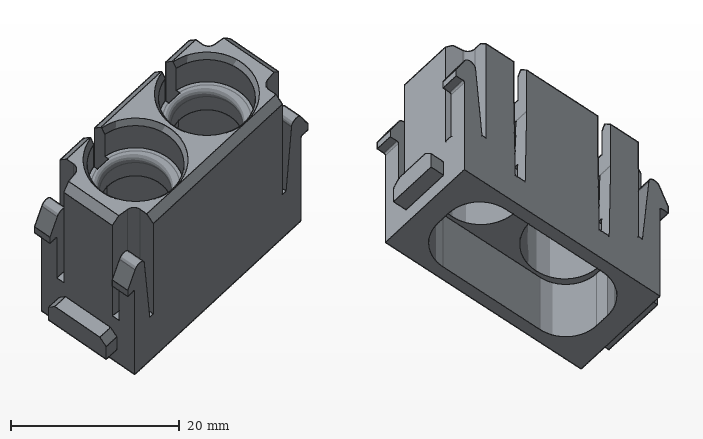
import cadquery as cq

body_width = 14.6
body_length = 30.3
body_height = 27.2
top_chamfer = 1.03
half_width = body_width / 2
half_length = body_length / 2

bore_spacing = 13.0
bore_centres = (-bore_spacing / 2, bore_spacing / 2)
mouth_diameter = 12.45
mouth_depth = 0.85
upper_bore_diameter = 11.5
lower_bore_top_diameter = 10.8
lower_bore_end_diameter = 10.67
neck_diameter = 8.6
neck_lip_radius = 1.0
neck_top = 22.02
neck_bottom = 18.45

cavity_width = 11.55
cavity_height = 9.78
cavity_corner_radius = 4.8
cavity_length = bore_spacing + cavity_width

slot_inner_x = -5.1
slot_top_width = 2.0
slot_floor_width = 1.55
slot_taper_top = neck_bottom
slot_floor = 5.1

notch_floor = 8.5
notch_inner_y = 11.75
notch_outer_x = 3.8
notch_inner_x = 4.25
notch_radius = 1.1

arm_width = 2.43
arm_root_y = 12.4
arm_tip_y = 13.4
arm_tip_start = 20.08
arm_top = 20.95
arm_shoulder_y = 15.08
arm_shoulder = 20.42
catch_reach = 16.4
catch_bottom = 16.52
catch_height = 1.2
catch_root_radius = 0.25

overall_length = 34.2
front_peg_width = 9.03
rear_peg_width = 6.95
peg_bottom = 2.53
peg_top = 6.02
peg_chamfer = 1.0


def make_body():
    block = cq.Workplane("XY").box(body_width, body_length, body_height, centered=(True, True, False))
    return block.faces(">Z").edges().chamfer(top_chamfer)


def make_bore(centre_y):
    """Revolved void: chamfered mouth, upper bore, rounded neck and tapered lower bore."""
    neck_radius = neck_diameter / 2
    lip_outer = neck_radius + neck_lip_radius
    profile = (
        cq.Workplane("XZ")
        .moveTo(0, cavity_height)
        .lineTo(lower_bore_end_diameter / 2, cavity_height)
        .lineTo(lower_bore_top_diameter / 2, neck_bottom)
        .lineTo(neck_radius, neck_bottom)
        .lineTo(neck_radius, neck_top - neck_lip_radius)
        .radiusArc((lip_outer, neck_top), neck_lip_radius)
        .lineTo(upper_bore_diameter / 2, neck_top)
        .lineTo(upper_bore_diameter / 2, body_height - mouth_depth)
        .lineTo(mouth_diameter / 2, body_height)
        .lineTo(0, body_height)
        .close()
    )
    return profile.revolve(360, (0, 0), (0, 1)).translate((0, centre_y, 0))


def make_cavity():
    cavity = cq.Workplane("XY").box(
        cavity_width, cavity_length, cavity_height, centered=(True, True, False)
    )
    return cavity.edges("|Z").fillet(cavity_corner_radius)


def make_slot(centre_y):
    """Wall slot with straight sides above and tapering sides below."""
    outline = [
        (-slot_floor_width / 2, slot_floor),
        (slot_floor_width / 2, slot_floor),
        (slot_top_width / 2, slot_taper_top),
        (slot_top_width / 2, body_height),
        (-slot_top_width / 2, body_height),
        (-slot_top_width / 2, slot_taper_top),
    ]
    slot = cq.Workplane("YZ").polyline(outline).close().extrude(slot_inner_x + half_width)
    return slot.translate((-half_width, centre_y, 0))


def make_notch():
    """Notch void at the +X +Y corner, with a rounded inner corner."""
    outline = [
        (half_width, notch_inner_y),
        (notch_inner_x, notch_inner_y),
        (notch_outer_x, half_length),
        (half_width, half_length),
    ]
    notch = cq.Workplane("XY").polyline(outline).close().extrude(body_height - notch_floor)
    inner_corner = cq.selectors.NearestToPointSelector(
        (notch_inner_x, notch_inner_y, (body_height - notch_floor) / 2)
    )
    return notch.edges(inner_corner).fillet(notch_radius).translate((0, 0, notch_floor))


def make_arm():
    """Latch arm at the +X +Y corner: tapered spring, round tip and catch."""
    tip_middle = (arm_tip_y + arm_shoulder_y) / 2
    arm = (
        cq.Workplane("YZ")
        .moveTo(arm_root_y, notch_floor)
        .lineTo(half_length, notch_floor)
        .lineTo(half_length, catch_bottom - catch_root_radius)
        .radiusArc((half_length + catch_root_radius, catch_bottom), catch_root_radius)
        .lineTo(catch_reach, catch_bottom)
        .lineTo(catch_reach, catch_bottom + catch_height)
        .lineTo(arm_shoulder_y, arm_shoulder)
        .threePointArc((tip_middle, arm_top), (arm_tip_y, arm_tip_start))
        .close()
        .extrude(arm_width)
    )
    return arm.translate((half_width - arm_width, 0, 0))


def make_peg(width):
    """Peg on the +Y face with two chamfered upper corners."""
    peg_reach = overall_length / 2 - half_length
    peg_height = peg_top - peg_bottom
    peg = cq.Workplane("XY").box(width, peg_reach, peg_height, centered=(True, False, False))
    peg = peg.edges("|Y and >Z").chamfer(peg_chamfer)
    return peg.translate((0, half_length, peg_bottom))


def at_four_corners(shape):
    """Copies of a +X +Y corner shape for all four corners."""
    pair = [shape, shape.mirror("YZ")]
    return pair + [half.mirror("XZ") for half in pair]


result = make_body()
for notch in at_four_corners(make_notch()):
    result = result.cut(notch)
result = result.cut(make_cavity())
for centre_y in bore_centres:
    result = result.cut(make_bore(centre_y)).cut(make_slot(centre_y))
for arm in at_four_corners(make_arm()):
    result = result.union(arm)
result = result.union(make_peg(rear_peg_width))
result = result.union(make_peg(front_peg_width).mirror("XZ"))